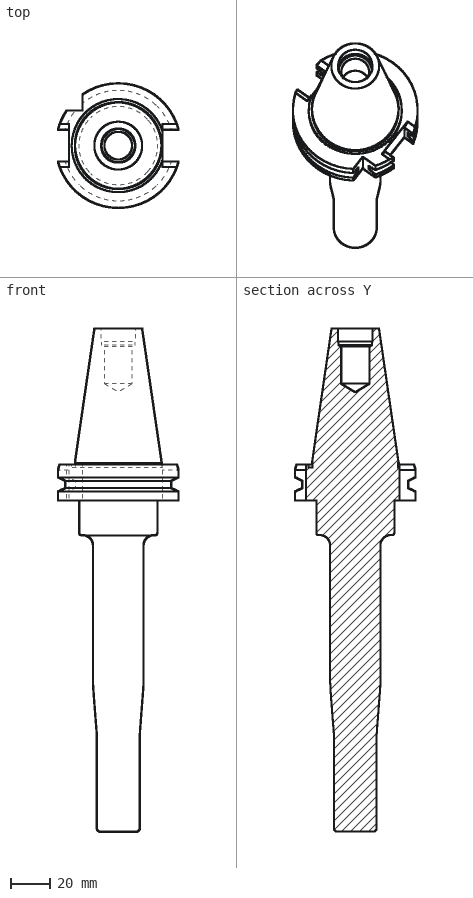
import cadquery as cq
import math

TOTAL_LENGTH = 256.2
SHANK_TOP = 50.0
NECK_BOTTOM = 74.8
COLLAR_BOTTOM = 151.0
FLANGE_BOTTOM = 168.5
FLANGE_THICKNESS = 18.5
FLANGE_TOP = FLANGE_BOTTOM + FLANGE_THICKNESS
TAPER_BOTTOM = 187.8

SHANK_RADIUS = 22.0 / 2
NECK_RADIUS = 26.0 / 2
COLLAR_RADIUS = 40.0 / 2
FLANGE_RADIUS = 63.5 / 2
TAPER_LARGE_RADIUS = 44.3 / 2
TAPER_RATIO = 7 / 24
TAPER_SMALL_RADIUS = TAPER_LARGE_RADIUS - (TOTAL_LENGTH - TAPER_BOTTOM) * TAPER_RATIO / 2

TIP_FILLET = 2.0
NECK_FILLET = 5.0
COLLAR_FILLET = 1.3
BLEND_LENGTH = 2.0

RELIEF_OUTER_RADIUS = 47.5 / 2
RELIEF_INNER_RADIUS = 43.8 / 2
RELIEF_DEPTH = 1.5

GROOVE_CENTRE = 176.8
GROOVE_ROOT_RADIUS = 56.5 / 2
GROOVE_ROOT_WIDTH = 3.5
GROOVE_FLANK_ANGLE = 27.0

SLOT_WIDTH = 16.1
SLOT_CHAMFER = 2.8
LEFT_SLOT_FLOOR = 25.0
RIGHT_SLOT_FLOOR = 22.5
NOTCH_X = 18.2
NOTCH_Y = 18.0

COUNTERBORE_DIAMETER = 17.5
COUNTERBORE_DEPTH = 6.7
BORE_DIAMETER = 17.0
BORE_DEPTH = 8.5
HOLE_DIAMETER = 14.0
HOLE_DEPTH = 28.2
DRILL_POINT_ANGLE = 118.0


def make_body():
    """Turned body: shank, cone, neck, collar, flange and taper."""
    cone_angle = math.atan2(NECK_RADIUS - SHANK_RADIUS, NECK_BOTTOM - SHANK_TOP)
    blend_out = BLEND_LENGTH * math.sin(cone_angle)
    blend_up = BLEND_LENGTH * math.cos(cone_angle)
    cone_start = (SHANK_RADIUS + blend_out, SHANK_TOP + blend_up)
    cone_end = (NECK_RADIUS - blend_out, NECK_BOTTOM - blend_up)
    arc_start = (NECK_RADIUS, COLLAR_BOTTOM - NECK_FILLET)
    arc_end = (NECK_RADIUS + NECK_FILLET, COLLAR_BOTTOM)
    arc_inset = NECK_FILLET * (1 - math.sqrt(0.5))
    arc_middle = (NECK_RADIUS + arc_inset, COLLAR_BOTTOM - arc_inset)
    relief_floor = FLANGE_TOP - RELIEF_DEPTH
    profile = (
        cq.Workplane("XZ")
        .lineTo(SHANK_RADIUS - TIP_FILLET, 0)
        .tangentArcPoint((SHANK_RADIUS, TIP_FILLET), relative=False)
        .lineTo(SHANK_RADIUS, SHANK_TOP - BLEND_LENGTH)
        .tangentArcPoint(cone_start, relative=False)
        .lineTo(*cone_end)
        .tangentArcPoint((NECK_RADIUS, NECK_BOTTOM + BLEND_LENGTH), relative=False)
        .lineTo(*arc_start)
        .threePointArc(arc_middle, arc_end)
        .lineTo(COLLAR_RADIUS - COLLAR_FILLET, COLLAR_BOTTOM)
        .tangentArcPoint((COLLAR_RADIUS, COLLAR_BOTTOM + COLLAR_FILLET), relative=False)
        .lineTo(COLLAR_RADIUS, FLANGE_BOTTOM)
        .lineTo(FLANGE_RADIUS, FLANGE_BOTTOM)
        .lineTo(FLANGE_RADIUS, FLANGE_TOP)
        .lineTo(RELIEF_OUTER_RADIUS, FLANGE_TOP)
        .lineTo(RELIEF_OUTER_RADIUS, relief_floor)
        .lineTo(RELIEF_INNER_RADIUS, relief_floor)
        .lineTo(RELIEF_INNER_RADIUS, TAPER_BOTTOM)
        .lineTo(TAPER_LARGE_RADIUS, TAPER_BOTTOM)
        .lineTo(TAPER_SMALL_RADIUS, TOTAL_LENGTH)
        .lineTo(0, TOTAL_LENGTH)
        .close()
    )
    return profile.revolve(360, (0, 0, 0), (0, 1, 0))


def make_groove():
    """Ring with sloping flanks that cuts the gripper groove."""
    flank_rise = (FLANGE_RADIUS - GROOVE_ROOT_RADIUS) * math.tan(math.radians(GROOVE_FLANK_ANGLE))
    root_half = GROOVE_ROOT_WIDTH / 2
    mouth_half = root_half + flank_rise
    return (
        cq.Workplane("XZ")
        .moveTo(GROOVE_ROOT_RADIUS, GROOVE_CENTRE - root_half)
        .lineTo(FLANGE_RADIUS, GROOVE_CENTRE - mouth_half)
        .lineTo(FLANGE_RADIUS, GROOVE_CENTRE + mouth_half)
        .lineTo(GROOVE_ROOT_RADIUS, GROOVE_CENTRE + root_half)
        .close()
        .revolve(360, (0, 0, 0), (0, 1, 0))
    )


def make_slot(floor, side):
    """Drive slot with a chamfered top; side is -1 for -X and +1 for +X."""
    half = SLOT_WIDTH / 2
    chamfer_bottom = FLANGE_TOP - SLOT_CHAMFER
    return (
        cq.Workplane("YZ", origin=(side * floor, 0, 0))
        .moveTo(-half, FLANGE_BOTTOM)
        .lineTo(half, FLANGE_BOTTOM)
        .lineTo(half, chamfer_bottom)
        .lineTo(half + SLOT_CHAMFER, FLANGE_TOP)
        .lineTo(-half - SLOT_CHAMFER, FLANGE_TOP)
        .lineTo(-half, chamfer_bottom)
        .close()
        .extrude(side * FLANGE_RADIUS)
    )


def make_notch():
    """Corner block removed from the -X, +Y side of the flange."""
    return (
        cq.Workplane("XY", origin=(-NOTCH_X, NOTCH_Y, FLANGE_BOTTOM))
        .rect(-FLANGE_RADIUS, FLANGE_RADIUS, centered=False)
        .extrude(FLANGE_THICKNESS)
    )


def make_hole():
    """Counterbored blind bore with a conical seat, a narrower hole and a conical bottom."""
    hole_radius = HOLE_DIAMETER / 2
    bore_radius = BORE_DIAMETER / 2
    counterbore_radius = COUNTERBORE_DIAMETER / 2
    shoulder = TOTAL_LENGTH - COUNTERBORE_DEPTH
    bore_bottom = TOTAL_LENGTH - BORE_DEPTH
    hole_bottom = TOTAL_LENGTH - HOLE_DEPTH
    cone_slope = 1 / math.tan(math.radians(DRILL_POINT_ANGLE / 2))
    point_depth = hole_radius * cone_slope
    seat_depth = (bore_radius - hole_radius) * cone_slope
    return (
        cq.Workplane("XZ")
        .moveTo(0, hole_bottom - point_depth)
        .lineTo(hole_radius, hole_bottom)
        .lineTo(hole_radius, bore_bottom - seat_depth)
        .lineTo(bore_radius, bore_bottom)
        .lineTo(bore_radius, shoulder)
        .lineTo(counterbore_radius, shoulder)
        .lineTo(counterbore_radius, TOTAL_LENGTH)
        .lineTo(0, TOTAL_LENGTH)
        .close()
        .revolve(360, (0, 0, 0), (0, 1, 0))
    )


result = (
    make_body()
    .cut(make_groove())
    .cut(make_slot(LEFT_SLOT_FLOOR, -1))
    .cut(make_slot(RIGHT_SLOT_FLOOR, 1))
    .cut(make_notch())
    .cut(make_hole())
)